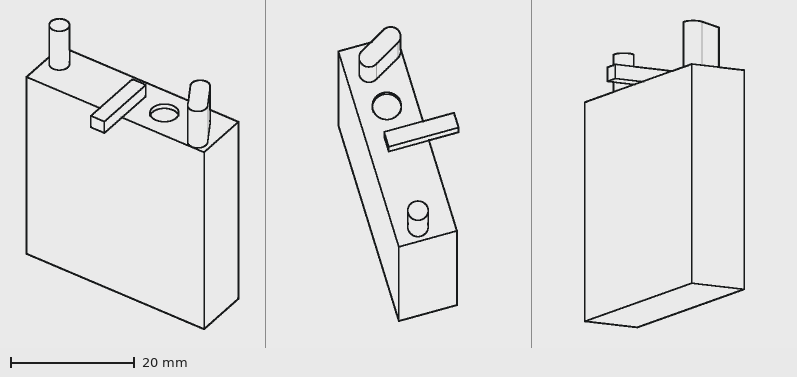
import cadquery as cq

body_width = 34.85
body_depth = 9.8
total_height = 44.05
pin_height = 7.95
body_height = total_height - pin_height
body_back = body_depth / 2

pin_diameter = 3.3
pin_x = -15.0
pin_y = body_back - 3.9

bar_width = 2.65
bar_height = 2.35
bar_length = 11.75
total_depth = 14.75
bar_front = body_back - total_depth

recess_diameter = 4.65
recess_depth = 0.9
recess_x = 6.25

boss_thickness = 3.2
boss_centre_distance = 5.05
boss_length = boss_centre_distance + boss_thickness
boss_height = 7.45
boss_angle = -60
boss_x = 13.75
boss_y = body_back - 5.9


def on_top(x, y):
    """Workplane on the top face of the body, centred at (x, y)."""
    return cq.Workplane("XY", origin=(x, y, body_height))


body = cq.Workplane("XY").box(body_width, body_depth, body_height, centered=(True, True, False))

pin = on_top(pin_x, pin_y).circle(pin_diameter / 2).extrude(pin_height)

bar = on_top(0, bar_front + bar_length / 2).rect(bar_width, bar_length).extrude(bar_height)

boss = on_top(boss_x, boss_y).slot2D(boss_length, boss_thickness, boss_angle).extrude(boss_height)

recess = on_top(recess_x, 0).circle(recess_diameter / 2).extrude(-recess_depth)

result = body.union(pin).union(bar).union(boss).cut(recess)